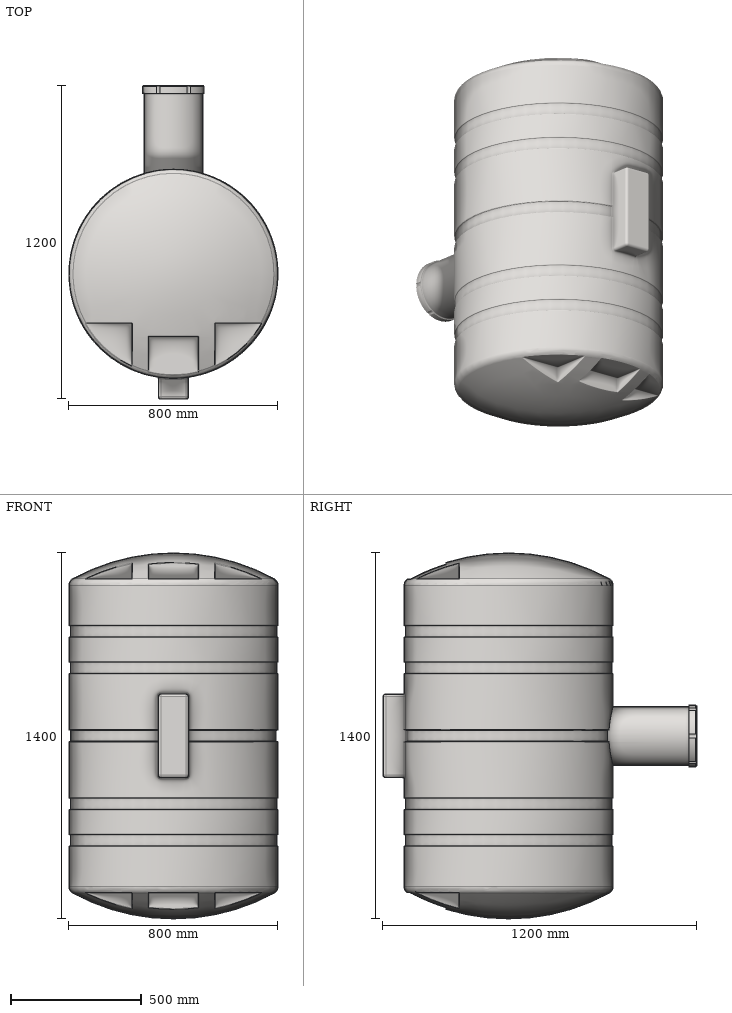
import cadquery as cq
import math

tank_radius = 400.0
tank_height = 1400.0
half_height = tank_height / 2
dome_radius = 2 * tank_radius
dome_center = half_height - dome_radius
shoulder_radius = 30.0

edge_fillet = 2.0

groove_width = 44.0
groove_depth = 4.5
middle_groove_depth = 6.0
groove_offsets = [260.0, 400.0]

pocket_floor = 600.0
middle_pocket_width = 190.0
middle_pocket_back = -240.0
side_pocket_inner = 159.0
side_pocket_back = -189.0
pocket_reach = tank_radius + 10.0
dome_tolerance = 0.01

box_width = 115.0
box_height = 320.0
box_front = -480.0
box_edge_fillet = 10.0
box_base_fillet = 5.0

neck_radius = 112.5
cap_radius = 118.0
cap_thickness = 30.0
cap_end = 720.0
neck_end = cap_end - cap_thickness
cap_edge_chamfer = 4.0
notch_count = 6
notch_width = 16.0
notch_depth = 5.0


def block(x_min, x_max, y_min, y_max, z_min, z_max):
    """Box given by its limits along each axis."""
    size = (x_max - x_min, y_max - y_min, z_max - z_min)
    return cq.Workplane("XY").box(*size, centered=False).translate((x_min, y_min, z_min))


def point_on_arc(center_r, center_z, radius, angle):
    """Point of a profile arc, the angle being measured from the outward radial direction."""
    return (center_r + radius * math.cos(angle), center_z + radius * math.sin(angle))


def make_plain_half():
    """Upper half of the tank: wall, rounded shoulder and spherical dome."""
    shoulder_center_r = tank_radius - shoulder_radius
    inner_reach = dome_radius - shoulder_radius
    shoulder_center_z = dome_center + math.sqrt(inner_reach**2 - shoulder_center_r**2)
    tangent_angle = math.acos(shoulder_center_r / inner_reach)
    shoulder = (shoulder_center_r, shoulder_center_z, shoulder_radius)
    dome_middle_angle = (tangent_angle + math.pi / 2) / 2
    return (
        cq.Workplane("XZ")
        .lineTo(tank_radius, 0)
        .lineTo(tank_radius, shoulder_center_z)
        .threePointArc(
            point_on_arc(*shoulder, tangent_angle / 2),
            point_on_arc(*shoulder, tangent_angle),
        )
        .threePointArc(
            point_on_arc(0, dome_center, dome_radius, dome_middle_angle),
            (0, half_height),
        )
        .close()
        .revolve(360, (0, 0, 0), (0, 1, 0))
    )


def make_pocket_cutter(x_min, x_max, y_back):
    """Pocket reaching from y_back out past the wall, with rounded floor edges and corners."""
    cutter = block(x_min, x_max, -pocket_reach, y_back, pocket_floor, half_height)
    return cutter.edges("|Z or <Z").fillet(edge_fillet)


def is_pocket_rim(edge):
    """True for the edges where the pocket walls meet the dome."""
    middle = edge.positionAt(0.5)
    on_dome = abs((middle - cq.Vector(0, 0, dome_center)).Length - dome_radius) < dome_tolerance
    above_shoulder = middle.z > pocket_floor + 2 * edge_fillet
    return on_dome and above_shoulder and middle.y < side_pocket_back + edge_fillet


def make_half():
    """Upper half of the tank with its three pockets."""
    half_width = middle_pocket_width / 2
    side_pocket = make_pocket_cutter(side_pocket_inner, pocket_reach, side_pocket_back)
    half = (
        make_plain_half()
        .cut(make_pocket_cutter(-half_width, half_width, middle_pocket_back))
        .cut(side_pocket)
        .cut(side_pocket.mirror("YZ"))
    )
    rims = [edge for edge in half.edges().vals() if is_pocket_rim(edge)]
    return half.newObject(rims).fillet(edge_fillet)


def make_groove(depth):
    """Cutter for one groove around mid-height, with rounded mouth and floor edges."""
    half_width = groove_width / 2
    half_mouth = half_width + edge_fillet
    half_floor = half_width - edge_fillet
    floor_radius = tank_radius - depth
    mouth_arc_r = tank_radius - edge_fillet
    floor_arc_r = floor_radius + edge_fillet
    outside = tank_radius + depth
    up = math.pi / 4
    return (
        cq.Workplane("XZ")
        .moveTo(outside, -half_mouth)
        .lineTo(tank_radius, -half_mouth)
        .threePointArc(
            point_on_arc(mouth_arc_r, -half_mouth, edge_fillet, up),
            (mouth_arc_r, -half_width),
        )
        .lineTo(floor_arc_r, -half_width)
        .threePointArc(
            point_on_arc(floor_arc_r, -half_floor, edge_fillet, up + math.pi),
            (floor_radius, -half_floor),
        )
        .lineTo(floor_radius, half_floor)
        .threePointArc(
            point_on_arc(floor_arc_r, half_floor, edge_fillet, math.pi - up),
            (floor_arc_r, half_width),
        )
        .lineTo(mouth_arc_r, half_width)
        .threePointArc(
            point_on_arc(mouth_arc_r, half_mouth, edge_fillet, -up),
            (tank_radius, half_mouth),
        )
        .lineTo(outside, half_mouth)
        .close()
        .revolve(360, (0, 0, 0), (0, 1, 0))
    )


def make_blended_box(wall_radius):
    """Edge-rounded box standing on a piece of round wall, with a fillet where they meet."""
    box = (
        block(-box_width / 2, box_width / 2, box_front, 0, -box_height / 2, box_height / 2)
        .edges("|Y or <Y")
        .fillet(box_edge_fillet)
    )
    wall_height = 2 * box_height
    wall = cq.Workplane("XY").circle(wall_radius).extrude(wall_height)
    joined = wall.translate((0, 0, -wall_height / 2)).union(box)
    around_base = cq.selectors.BoxSelector(
        (-box_width, -wall_radius - box_base_fillet, -box_height),
        (box_width, -wall_radius + 2 * box_base_fillet, box_height),
    )
    return joined.edges(around_base).fillet(box_base_fillet)


def make_neck():
    """Round neck from the tank axis to the cap, with a tiny flare against the cap."""
    bend = edge_fillet * (1 - math.sqrt(0.5))
    return (
        cq.Workplane("XY")
        .lineTo(neck_radius, 0)
        .lineTo(neck_radius, neck_end - edge_fillet)
        .threePointArc(
            (neck_radius + bend, neck_end - bend),
            (neck_radius + edge_fillet, neck_end),
        )
        .lineTo(0, neck_end)
        .close()
        .revolve(360, (0, 0, 0), (0, 1, 0))
    )


def make_tank():
    """Domed tank with its grooves, box and neck."""
    half = make_half()
    tank = half.union(half.mirror("XY"))
    tank = tank.union(make_blended_box(tank_radius))
    outer_groove = make_groove(groove_depth)
    for offset in groove_offsets:
        for side in (-1, 1):
            tank = tank.cut(outer_groove.translate((0, 0, side * offset)))
    standing_box = make_blended_box(tank_radius - middle_groove_depth)
    tank = tank.cut(make_groove(middle_groove_depth).cut(standing_box))
    return tank.union(make_neck())


def make_cap():
    """Round cap on the end of the neck, with scooped grip notches evenly spaced around its rim."""
    disc = (
        cq.Workplane("XZ", origin=(0, neck_end, 0))
        .circle(cap_radius)
        .extrude(-cap_thickness)
        .faces(">Y")
        .edges()
        .chamfer(cap_edge_chamfer)
    )
    scoop_radius = ((notch_width / 2) ** 2 + notch_depth**2) / (2 * notch_depth)
    notches = (
        cq.Workplane("XZ", origin=(0, neck_end, 0))
        .polarArray(cap_radius - notch_depth + scoop_radius, 0, 360, notch_count)
        .circle(scoop_radius)
        .extrude(-cap_thickness)
    )
    return disc.cut(notches)


tank = make_tank().solids()
cap = make_cap().solids()
result = cq.Compound.makeCompound([tank.val(), cap.val()])